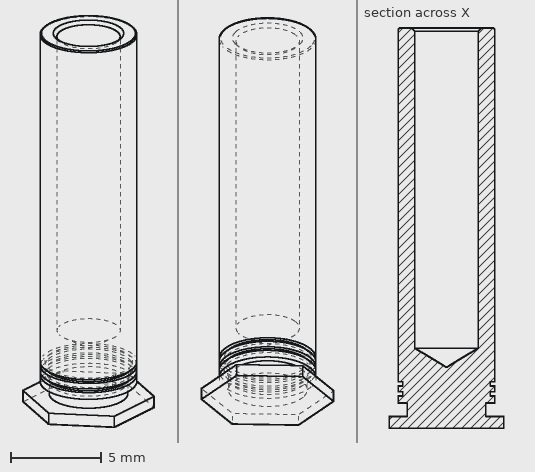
import cadquery as cq
import math

total_height = 22.23
head_across_flats = 6.35
head_across_corners = head_across_flats / math.cos(math.pi / 6)
head_thickness = 0.67

body_diameter = 5.38
neck_diameter = 4.38
neck_top = 1.4
rim_chamfer = 0.078

groove_diameter = 4.87
groove_width = 0.22
first_groove_bottom = 1.8
groove_pitch = 0.55
groove_count = 2

bore_diameter = 3.51
mouth_diameter = 3.91
mouth_depth = (mouth_diameter - bore_diameter) / 2
bore_depth = 17.78
drill_point_angle = 118.0


def cylinder(diameter, bottom, top):
    """Solid cylinder on the Z axis between two heights."""
    return cq.Workplane("XY").workplane(offset=bottom).circle(diameter / 2).extrude(top - bottom)


def make_head():
    """Hexagonal plate with two corners on the X axis."""
    return cq.Workplane("XY").polygon(6, head_across_corners).extrude(head_thickness)


def make_body():
    """Body with a chamfered top rim and ring grooves."""
    body = cylinder(body_diameter, neck_top, total_height).faces(">Z").chamfer(rim_chamfer)
    for index in range(groove_count):
        bottom = first_groove_bottom + index * groove_pitch
        top = bottom + groove_width
        ring = cylinder(body_diameter, bottom, top).cut(cylinder(groove_diameter, bottom, top))
        body = body.cut(ring)
    return body


def make_bore():
    """Revolved half profile of the blind bore."""
    bore_radius = bore_diameter / 2
    bore_bottom = total_height - bore_depth
    point_depth = bore_radius / math.tan(math.radians(drill_point_angle / 2))
    return (
        cq.Workplane("XZ")
        .moveTo(0, total_height)
        .lineTo(mouth_diameter / 2, total_height)
        .lineTo(bore_radius, total_height - mouth_depth)
        .lineTo(bore_radius, bore_bottom)
        .lineTo(0, bore_bottom - point_depth)
        .close()
        .revolve(360, (0, 0), (0, 1))
    )


neck = cylinder(neck_diameter, head_thickness, neck_top)
result = make_head().union(neck).union(make_body()).cut(make_bore())